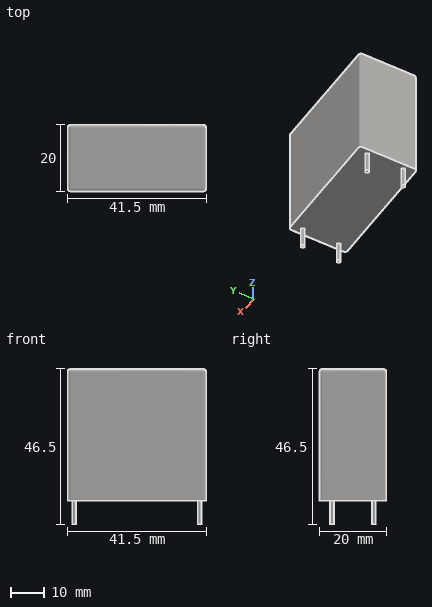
import cadquery as cq

length = 41.5
depth = 20.0
total_height = 46.5

pin_diameter = 1.2
pin_length = 7.0
pin_spacing_x = 37.53
pin_spacing_y = 12.5

edge_radius = 0.98

case_height = total_height - pin_length


def make_case():
    """Block resting on Z = 0, with every edge rounded except around the base."""
    block = cq.Workplane("XY").box(length, depth, case_height, centered=(True, True, False))
    return block.edges("|Z or >Z").fillet(edge_radius)


def make_pins():
    """Four round pins hanging from the base of the case."""
    return (
        cq.Workplane("XY")
        .rect(pin_spacing_x, pin_spacing_y, forConstruction=True)
        .vertices()
        .circle(pin_diameter / 2)
        .extrude(-pin_length)
    )


result = make_case().union(make_pins())